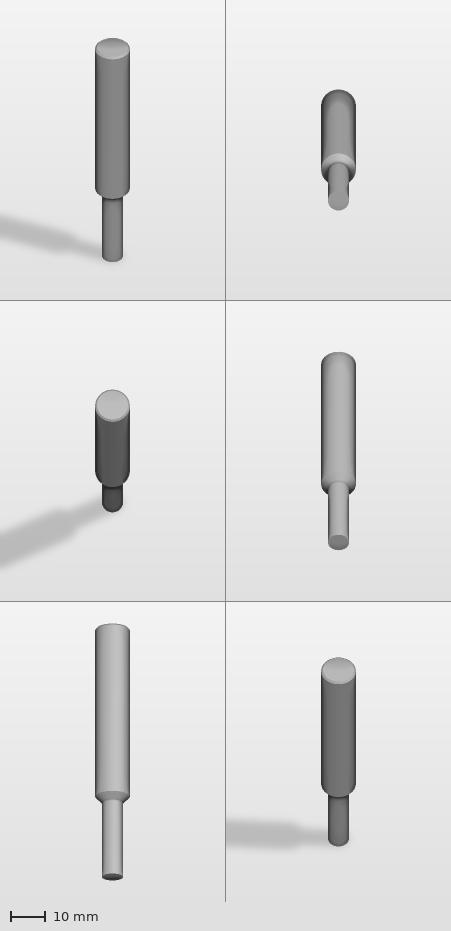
import cadquery as cq

total_length = 76.0
barrel_diameter = 10.0
stem_diameter = 6.1
shoulder_height = 22.65
top_chamfer = 0.5

collar_height = (barrel_diameter - stem_diameter) / 2
barrel_bottom = shoulder_height + collar_height


def make_barrel():
    """Plain round barrel with a chamfered top rim."""
    return (
        cq.Workplane("XY", origin=(0, 0, barrel_bottom))
        .circle(barrel_diameter / 2)
        .extrude(total_length - barrel_bottom)
        .faces(">Z")
        .chamfer(top_chamfer)
    )


def make_collar():
    """Solid cone frustum between the stem and the barrel."""
    return (
        cq.Workplane("XZ")
        .moveTo(0, shoulder_height)
        .lineTo(stem_diameter / 2, shoulder_height)
        .lineTo(barrel_diameter / 2, barrel_bottom)
        .lineTo(0, barrel_bottom)
        .close()
        .revolve(360, (0, 0, 0), (0, 1, 0))
    )


def make_stem():
    """Round stem that butts against the narrow end of the collar."""
    return cq.Workplane("XY").circle(stem_diameter / 2).extrude(shoulder_height)


barrel = make_barrel()
collar = make_collar()
stem = make_stem()

result = cq.Compound.makeCompound([barrel.val(), collar.val(), stem.val()])